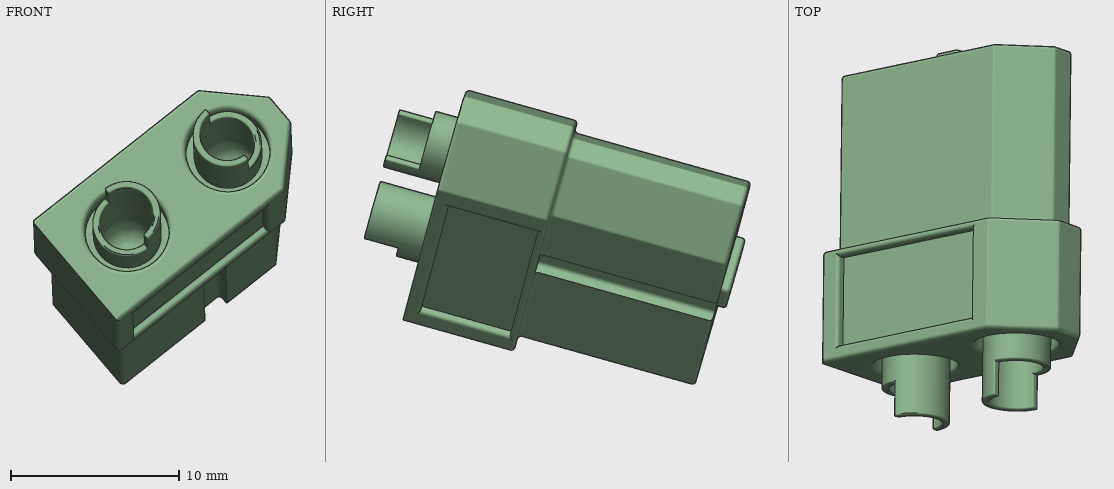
import cadquery as cq
import math


collar_length = 15.8
collar_width = 8.05
corner_cut = 3.01
collar_height = 6.87
nose_inset = 0.7
nose_height = 10.92
edge_radius = 0.23
step_radius = 0.23

panel_end_margin = 1.26
panel_solder_margin = 0.87
panel_step_margin = 0.45
panel_depth = 0.5
panel_rim_radius = 0.2

key_width = 1.7
notch_depth = 0.7
notch_radius = 0.23
bar_length = 4.37
bar_height = 0.57
bar_radius = 0.2

contact_pitch = 7.75
contact_radius = 2.02
bore_radius = 1.6
contact_rise = 3.52
cup_lip_rise = 1.4
cup_corner_start = 3.13
cup_corner_radius = 1.1
rim_radius = 0.1

recess_radius = 2.5
recess_depth = 1.15
recess_mouth_radius = 0.28

tilt_x = 70.0
tilt_y = -37.7
tilt_z = 11.9
center = (0.968, -0.453, 0.995)

contact_places = [(-contact_pitch / 2, 1), (contact_pitch / 2, -1)]


def outline(inset):
    """Housing outline moved inward by inset."""
    half_length = collar_length / 2 - inset
    half_width = collar_width / 2 - inset
    cut = corner_cut - inset * (2 - math.sqrt(2))
    return [
        (-half_length, -half_width),
        (half_length - cut, -half_width),
        (half_length, -half_width + cut),
        (half_length, half_width - cut),
        (half_length - cut, half_width),
        (-half_length, half_width),
    ]


def panel_cutters():
    """Blocks that sink a label panel into each broad face of the collar."""
    panel_length = collar_length - corner_cut - 2 * panel_end_margin
    panel_height = collar_height - panel_solder_margin - panel_step_margin
    return (
        cq.Workplane("XY", origin=(-corner_cut / 2, 0, panel_step_margin))
        .pushPoints([(0, side * collar_width / 2) for side in (1, -1)])
        .box(panel_length, 2 * panel_depth, panel_height, centered=(True, True, False))
    )


def make_collar():
    """Collar with label panels and rounded edges; the solder edge of the flat -X end stays sharp."""
    collar = cq.Workplane("XY").polyline(outline(0)).close().extrude(collar_height)
    sharp_edge = collar.faces(">Z").edges("<X").val()
    outer_edges = [edge for edge in collar.edges().vals() if not edge.isSame(sharp_edge)]
    collar = collar.newObject(outer_edges).fillet(edge_radius).cut(panel_cutters())
    for side in (">Y", "<Y"):
        rim = collar.faces(side).val().innerWires()[0]
        collar = collar.newObject(rim.Edges()).fillet(panel_rim_radius)
    return collar


def make_nose():
    """Nose below the collar, rounded along its sides and around its end."""
    nose = cq.Workplane("XY").polyline(outline(nose_inset)).close().extrude(-nose_height)
    return nose.edges("|Z or <Z").fillet(edge_radius)


def notch_cutter():
    """Groove along the whole nose, in the middle of its -Y face."""
    nose_face = collar_width / 2 - nose_inset
    return (
        cq.Workplane("XY", origin=(0, -nose_face, -nose_height))
        .rect(key_width, 2 * notch_depth)
        .extrude(nose_height)
        .edges("|Z")
        .fillet(notch_radius)
    )


def make_key_bar():
    """Raised bar across the end of the nose."""
    return (
        cq.Workplane("XY", origin=(0, 0, -nose_height))
        .rect(key_width, bar_length)
        .extrude(-bar_height)
        .edges("<Z or |Z")
        .fillet(bar_radius)
    )


def contact_hole(x):
    """Hole for one contact, with a wider recess on the solder side."""
    hole = cq.Workplane("XY", origin=(x, 0, -nose_height)).circle(contact_radius)
    hole = hole.extrude(nose_height + collar_height)
    recess = (
        cq.Workplane("XY", origin=(x, 0, collar_height - recess_depth))
        .circle(recess_radius)
        .extrude(recess_depth)
    )
    return hole.union(recess)


def make_housing():
    """Collar, nose and key bar in one piece, with the contact holes through all of it."""
    housing = make_collar().union(make_nose())
    step = housing.faces("|Z").faces("<Z[-2]").val()
    housing = housing.newObject(step.innerWires()[0].Edges()).fillet(step_radius)
    housing = housing.union(make_key_bar()).cut(notch_cutter())
    for x, _ in contact_places:
        housing = housing.cut(contact_hole(x))
    mouths = [edge for wire in housing.faces(">Z").val().innerWires() for edge in wire.Edges()]
    return housing.newObject(mouths).fillet(recess_mouth_radius)


def make_contact(x, tall_side):
    """Round contact with a solder cup whose outer half is cut down to a low lip."""
    tip = collar_height + contact_rise
    lip = collar_height + cup_lip_rise
    cup_bottom = cup_corner_start - cup_corner_radius
    contact = cq.Workplane("XY", origin=(0, 0, -nose_height)).circle(contact_radius)
    contact = contact.extrude(nose_height + tip)
    cup = cq.Workplane("XY", origin=(0, 0, cup_bottom)).circle(bore_radius).extrude(tip - cup_bottom)
    cup = cup.faces("<Z").edges().fillet(cup_corner_radius)
    lip_cut = cq.Workplane("XY", origin=(-tall_side * contact_radius, 0, lip)).box(
        2 * contact_radius, 2 * contact_radius, contact_rise, centered=(True, True, False)
    )
    contact = contact.cut(cup).cut(lip_cut)
    tip_edges = contact.faces(">Z").edges()
    lip_edges = contact.faces("|Z").faces(">Z[-2]").edges("%CIRCLE")
    wall_edges = contact.faces("|X").edges("|Z")
    contact = tip_edges.add(lip_edges).add(wall_edges).fillet(rim_radius)
    return contact.translate((x, 0, 0))


def place(body):
    """Turn a body from the connector frame into its final attitude."""
    for axis, angle in (((1, 0, 0), tilt_x), ((0, 1, 0), tilt_y), ((0, 0, 1), tilt_z)):
        body = body.rotate((0, 0, 0), axis, angle)
    return body.translate(center)


housing = place(make_housing())
contacts = [place(make_contact(x, tall_side)) for x, tall_side in contact_places]

result = cq.Compound.makeCompound([housing.val(), *[contact.val() for contact in contacts]])